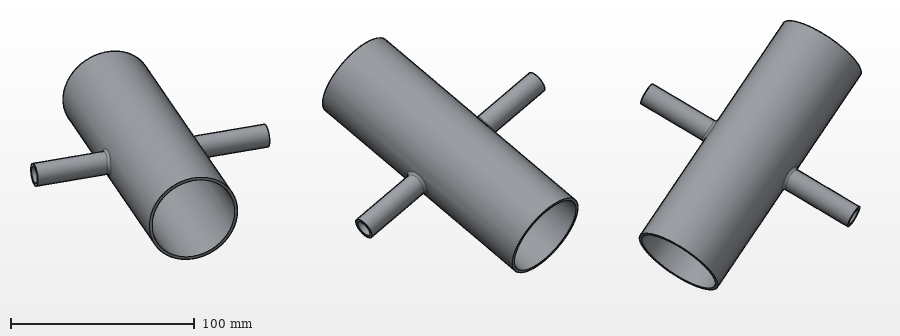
import cadquery as cq

tube_length = 146.05
tube_diameter = 50.8
tube_bore = 47.5

branch_span = 133.35
branch_diameter = 12.7
branch_bore = 9.4

weld_radius = 1.5875


def rod_along_x(diameter, length):
    """Round bar centred on the origin, running along X."""
    return cq.Workplane("YZ").circle(diameter / 2).extrude(length / 2, both=True)


def rod_along_y(diameter, length):
    """Round bar centred on the origin, running along Y."""
    return cq.Workplane("XZ").circle(diameter / 2).extrude(length / 2, both=True)


def solid_cross():
    """Tube and branches without bores, with the branch seams filleted."""
    tube = rod_along_x(tube_diameter, tube_length)
    branches = rod_along_y(branch_diameter, branch_span)
    seam_zone = cq.selectors.BoxSelector(
        (-branch_diameter, -tube_diameter, -branch_diameter),
        (branch_diameter, tube_diameter, branch_diameter),
        boundingbox=True,
    )
    return tube.union(branches).edges(seam_zone).fillet(weld_radius)


def bores():
    """Open passages through the tube and through both branches."""
    return rod_along_x(tube_bore, tube_length).union(rod_along_y(branch_bore, branch_span))


result = solid_cross().cut(bores())